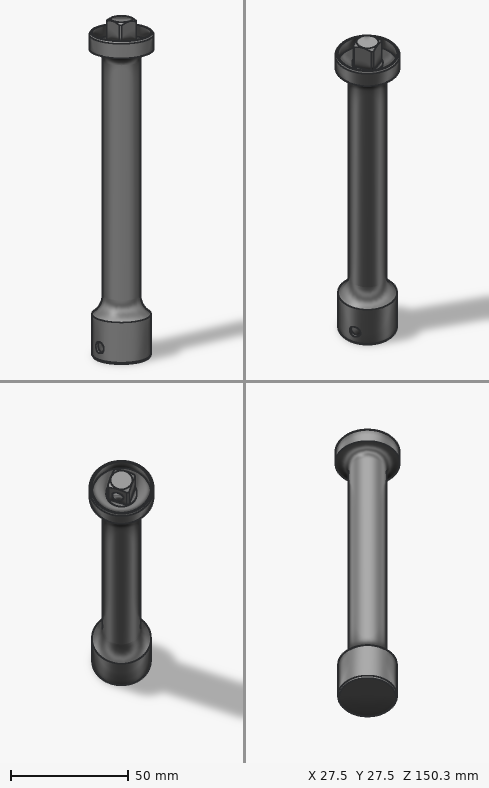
import cadquery as cq
import math

total_height = 150.3
shaft_diameter = 16.2
shaft_radius = shaft_diameter / 2

socket_radius = 12.6
socket_height = 18.8
socket_chamfer_width = 0.6
socket_chamfer_height = 0.9
shoulder_top = 27.4

flange_radius = 13.75
flange_bottom = 136.9
flange_top = 144.3
flange_chamfer_width = 0.6
flange_chamfer_height = 0.9
flare_radius = 4.8
cup_radius = 12.6
cup_floor = 139.2

drive_width = 9.6
drive_corner_radius = 6.3
drive_top_radius = 4.7
drive_top_bevel_angle = 30.0
boss_radius = 6.6
boss_height = 0.2

ball_radius = 2.5
ball_y = 4.2
ball_z = 144.6

pin_radius = 2.5
pin_z = 6.3
pin_dome_radius = 6.0
pin_recess = 1.5
pin_hole_depth = 6.0
pin_inner_y = -(socket_radius - pin_hole_depth)
pin_side_length = pin_hole_depth - pin_recess


def make_shaft():
    """Revolved socket end, shoulder, shaft and flange, without the cup."""
    rise = shoulder_top - socket_height
    run = socket_radius - shaft_radius
    shoulder_radius = (rise**2 + run**2) / (2 * run)
    half_sweep = math.asin(rise / shoulder_radius) / 2
    shoulder_middle = (
        shaft_radius + shoulder_radius * (1 - math.cos(half_sweep)),
        shoulder_top - shoulder_radius * math.sin(half_sweep),
    )

    mid_angle = math.radians(45)
    flare_start = flange_bottom - flare_radius
    flare_middle = (
        shaft_radius + flare_radius * (1 - math.cos(mid_angle)),
        flare_start + flare_radius * math.sin(mid_angle),
    )
    profile = (
        cq.Workplane("XZ")
        .lineTo(socket_radius - socket_chamfer_width, 0)
        .lineTo(socket_radius, socket_chamfer_height)
        .lineTo(socket_radius, socket_height)
        .threePointArc(shoulder_middle, (shaft_radius, shoulder_top))
        .lineTo(shaft_radius, flare_start)
        .threePointArc(flare_middle, (shaft_radius + flare_radius, flange_bottom))
        .lineTo(flange_radius, flange_bottom)
        .lineTo(flange_radius, flange_top - flange_chamfer_height)
        .lineTo(flange_radius - flange_chamfer_width, flange_top)
        .lineTo(0, flange_top)
        .close()
    )
    return profile.revolve(360, (0, 0, 0), (0, 1, 0))


def make_cup():
    """Space inside the flange rim, around the low boss under the drive."""
    cup = cq.Workplane("XY").workplane(offset=cup_floor).circle(cup_radius)
    cup = cup.extrude(flange_top - cup_floor)
    boss = cq.Workplane("XY").workplane(offset=cup_floor).circle(boss_radius).extrude(boss_height)
    return cup.cut(boss)


def make_drive():
    """Square drive with rounded corners and a conical bevel at the top."""
    square = (
        cq.Workplane("XY").workplane(offset=cup_floor)
        .rect(drive_width, drive_width).extrude(total_height - cup_floor)
    )
    bevel_drop = (drive_corner_radius - drive_top_radius) * math.tan(math.radians(drive_top_bevel_angle))
    envelope = (
        cq.Workplane("XZ")
        .moveTo(0, cup_floor)
        .lineTo(drive_corner_radius, cup_floor)
        .lineTo(drive_corner_radius, total_height - bevel_drop)
        .lineTo(drive_top_radius, total_height)
        .lineTo(0, total_height)
        .close()
        .revolve(360, (0, 0, 0), (0, 1, 0))
    )
    return square.intersect(envelope)


def make_ball():
    return cq.Workplane("XY").sphere(ball_radius).translate((0, ball_y, ball_z))


def make_pin():
    """Radial pin whose outward (-Y) end is a shallow dome."""
    dome_height = pin_dome_radius - math.sqrt(pin_dome_radius**2 - pin_radius**2)
    dome_top = pin_side_length + dome_height
    blank = cq.Workplane("XZ", origin=(0, pin_inner_y, pin_z)).circle(pin_radius).extrude(dome_top)
    dome_center_y = pin_inner_y - dome_top + pin_dome_radius
    side = cq.Workplane("XZ", origin=(0, pin_inner_y, pin_z)).circle(pin_radius).extrude(pin_side_length)
    dome = cq.Workplane("XY").sphere(pin_dome_radius).translate((0, dome_center_y, pin_z))
    return side.union(blank.intersect(dome))


def make_pin_hole():
    """Radial blind hole in the -Y side, deeper than the pin is long."""
    hole = cq.Workplane("XZ", origin=(0, pin_inner_y, pin_z))
    return hole.circle(pin_radius).extrude(pin_hole_depth)


detent_ball = make_ball()
domed_pin = make_pin()

extension_bar = (
    make_shaft()
    .cut(make_cup())
    .union(make_drive())
    .cut(detent_ball)
    .cut(make_pin_hole())
)

result = cq.Compound.makeCompound([extension_bar.val(), detent_ball.val(), domed_pin.val()])